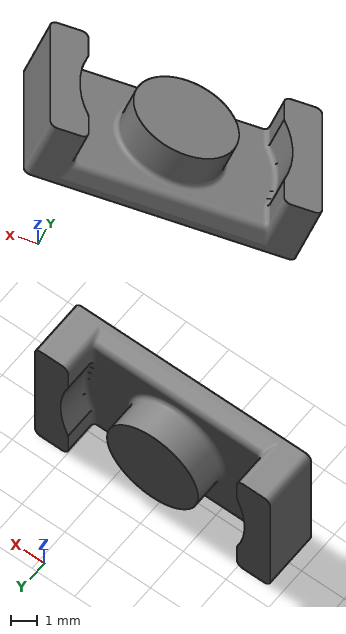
import cadquery as cq
import math

length = 11.0
depth = 2.5
height = 6.0
corner_radius = 0.3
leg_width = 1.55
floor_thickness = 1.0
lip_thickness = 0.3
slope_angle = 15.0
edge_radius = 0.3
post_diameter = 4.27
recess_diameter = 8.6
root_radius = 0.2
selection_margin = 0.01

half_height = height / 2
half_opening = length / 2 - leg_width


def extrude_along_y(sketch, start, end):
    """Extrude an XZ sketch toward +Y between two depths."""
    return sketch.extrude(start - end).translate((0, start, 0))


def make_body():
    block = cq.Workplane("XZ").rect(length, height)
    return extrude_along_y(block, 0, depth).edges("|Y").fillet(corner_radius)


def make_channel():
    """Space between the legs, flared at its four mouths by the leg rounds."""
    mouth = half_opening + corner_radius
    shoulder = half_height - corner_radius
    offset = corner_radius * (1 - math.sqrt(0.5))
    arc_x = half_opening + offset
    arc_z = half_height - offset
    outline = (
        cq.Workplane("XZ")
        .moveTo(-mouth, half_height)
        .lineTo(mouth, half_height)
        .threePointArc((arc_x, arc_z), (half_opening, shoulder))
        .lineTo(half_opening, -shoulder)
        .threePointArc((arc_x, -arc_z), (mouth, -half_height))
        .lineTo(-mouth, -half_height)
        .threePointArc((-arc_x, -arc_z), (-half_opening, -shoulder))
        .lineTo(-half_opening, shoulder)
        .threePointArc((-arc_x, arc_z), (-mouth, half_height))
        .close()
    )
    recess = cq.Workplane("XZ").circle(recess_diameter / 2)
    channel = extrude_along_y(outline, lip_thickness, depth)
    return channel.union(extrude_along_y(recess, lip_thickness, depth))


def make_floor():
    """Raised plate between the legs with sloped, rounded long edges."""
    rise = floor_thickness - lip_thickness
    crest = half_height - rise * math.tan(math.radians(slope_angle))
    plate = (
        cq.Workplane("YZ")
        .polyline([
            (lip_thickness, -half_height),
            (lip_thickness, half_height),
            (floor_thickness, crest),
            (floor_thickness, -crest),
        ])
        .close()
        .extrude(length / 2, both=True)
    )
    return plate.edges("|X and >Y").fillet(edge_radius)


def make_post():
    return extrude_along_y(cq.Workplane("XZ").circle(post_diameter / 2), lip_thickness, depth)


pocket = make_channel().cut(make_floor()).cut(make_post())
core = make_body().cut(pocket)

floor_face = cq.selectors.BoxSelector(
    (-half_opening, floor_thickness - selection_margin, -half_height),
    (half_opening, floor_thickness + selection_margin, half_height),
)
result = core.faces(floor_face).edges("not |X").fillet(root_radius)